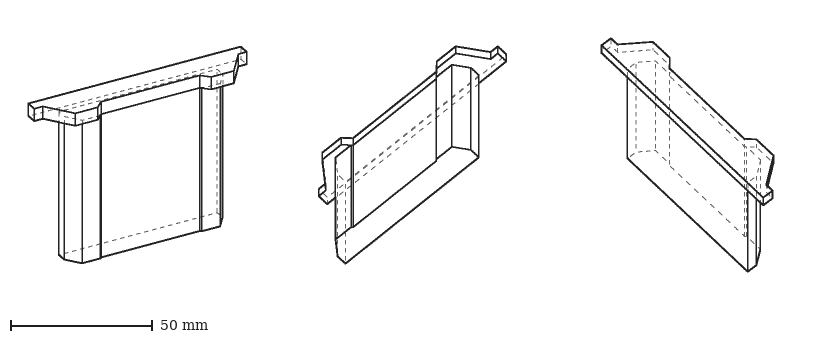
import cadquery as cq

head_length = 86.0
head_depth = 14.5
head_height = 5.0
lug_length = 3.4
lug_depth = 4.5
slope_length = 7.5
land_length = 9.1
recess_depth = 3.0

slope_start = head_length / 2 - lug_length
land_outer = slope_start - slope_length
land_inner = land_outer - land_length
recess_floor = head_depth - recess_depth
recess_floor_end = land_inner - recess_depth

total_height = 62.5
blade_height = total_height - head_height
blade_width = 64.1
blade_back = 2.4
blade_front = 12.0
blade_side_depth = 4.1
bevel_depth = blade_front - blade_back - blade_side_depth
bevel_width = bevel_depth * slope_length / (head_depth - lug_depth)


def symmetric_prism(half_outline, bottom, height):
    """Extrude an outline given for Y > 0 and mirrored to Y < 0."""
    mirrored = [(x, -y) for x, y in reversed(half_outline)]
    return cq.Workplane("XY").workplane(offset=bottom).polyline(half_outline + mirrored).close().extrude(height)


def make_head():
    end = head_length / 2
    half_outline = [
        (0, end),
        (lug_depth, end),
        (lug_depth, slope_start),
        (head_depth, land_outer),
        (head_depth, land_inner),
        (recess_floor, recess_floor_end),
    ]
    return symmetric_prism(half_outline, blade_height, head_height)


def make_blade():
    side = blade_width / 2
    half_outline = [
        (blade_back, side),
        (blade_back + blade_side_depth, side),
        (blade_front, side - bevel_width),
        (blade_front, recess_floor_end + blade_front - recess_floor),
        (recess_floor, recess_floor_end),
    ]
    return symmetric_prism(half_outline, 0, blade_height)


head = make_head()
blade = make_blade()

result = cq.Compound.makeCompound([head.val(), blade.val()])